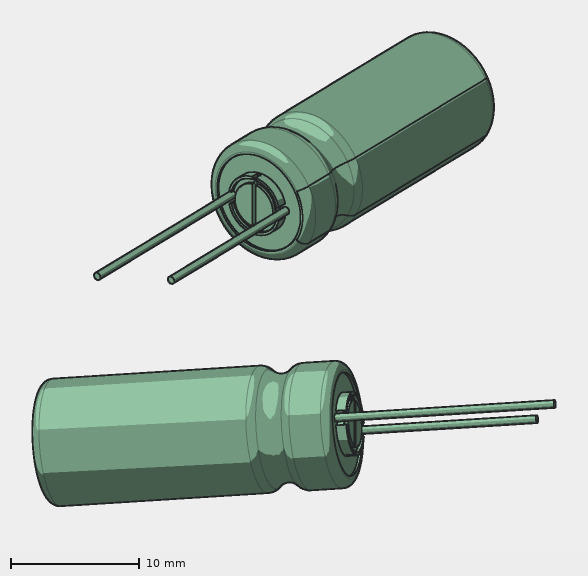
import cadquery as cq
import math

can_radius = 5.0
can_length = 24.35
end_fillet = 0.7
neck_center = 5.05
shoulder_radius = 1.0
neck_arc_radius = 1.45
neck_slope = math.radians(45)

stripe_angle = 60.0
stripe_depth = end_fillet

base_radius = 4.07
base_thickness = 1.0
base_recess = 0.2
boss_height = 0.65
boss_radius = 2.5
groove_outer_radius = 2.25
groove_inner_radius = 1.85
groove_depth = 0.3
vent_slot_width = 0.35

lead_radius = 0.315
lead_spacing = 5.0
lead_clearance_radius = 0.6
long_lead = 42.0 - can_length
short_lead = 14.7


def can_profile(inset):
    """Half section of the necked can, with its wall moved inward by inset."""
    wall = can_radius - inset
    shoulder_rise = shoulder_radius * math.sin(neck_slope)
    shoulder_drop = shoulder_radius * (1 - math.cos(neck_slope))
    neck_half = neck_arc_radius * math.sin(neck_slope)
    neck_drop = neck_arc_radius * (1 - math.cos(neck_slope))
    joint_radius = wall - shoulder_drop
    shoulder_half = neck_half + shoulder_rise
    half_slope = neck_slope / 2
    mid_radius = wall - shoulder_radius * (1 - math.cos(half_slope))
    mid_half = shoulder_half - shoulder_radius * math.sin(half_slope)
    return (
        cq.Workplane("XY")
        .lineTo(wall, 0)
        .lineTo(wall, neck_center - shoulder_half)
        .threePointArc((mid_radius, neck_center - mid_half), (joint_radius, neck_center - neck_half))
        .threePointArc((joint_radius - neck_drop, neck_center), (joint_radius, neck_center + neck_half))
        .threePointArc((mid_radius, neck_center + mid_half), (wall, neck_center + shoulder_half))
        .lineTo(wall, can_length)
        .lineTo(0, can_length)
        .close()
    )


def revolve_can(inset):
    return can_profile(inset).revolve(360, (0, 0, 0), (0, 1, 0))


def cylinder(radius, start, end, x=0):
    """Cylinder parallel to Y between two Y positions."""
    return cq.Workplane(cq.Solid.makeCylinder(radius, end - start, cq.Vector(x, start, 0), cq.Vector(0, 1, 0)))


def make_stripe(envelope):
    """Skin of the can within the stripe angle, centered on +X."""
    reach = 2 * can_radius
    half_width = reach * math.tan(math.radians(stripe_angle / 2))
    sector = (
        cq.Workplane("XZ")
        .polyline([(0, 0), (reach, -half_width), (reach, half_width)])
        .close()
        .extrude(-can_length)
    )
    return envelope.cut(revolve_can(stripe_depth)).intersect(sector)


def make_base(lead_positions):
    """Stopper with a raised boss that has a ring groove, a vent slot and notches around the leads."""
    base = cylinder(base_radius, base_recess, base_thickness)
    boss = cylinder(boss_radius, -boss_height, base_recess)
    groove_floor = groove_depth - boss_height
    groove = cylinder(groove_outer_radius, -boss_height, groove_floor).cut(
        cylinder(groove_inner_radius, -boss_height, groove_floor)
    )
    slot = (
        cq.Workplane("XY")
        .box(vent_slot_width, boss_height, 2 * boss_radius, centered=(True, False, True))
        .translate((0, -boss_height, 0))
    )
    boss = boss.cut(groove).cut(slot)
    for x in lead_positions:
        boss = boss.cut(cylinder(lead_clearance_radius, -boss_height, base_recess, x))
    base = base.union(boss)
    for x in lead_positions:
        base = base.cut(cylinder(lead_radius, base_recess, base_thickness, x))
    return base


leads_layout = [(-lead_spacing / 2, long_lead), (lead_spacing / 2, short_lead)]

envelope = revolve_can(0).faces("<Y or >Y").edges().fillet(end_fillet)
stripe = make_stripe(envelope)
can = envelope.cut(stripe).cut(cylinder(base_radius, 0, base_thickness))
base = make_base([x for x, length in leads_layout])
leads = [cylinder(lead_radius, -length, base_thickness, x) for x, length in leads_layout]

result = cq.Compound.makeCompound([can.val(), stripe.val(), base.val(), *[lead.val() for lead in leads]])